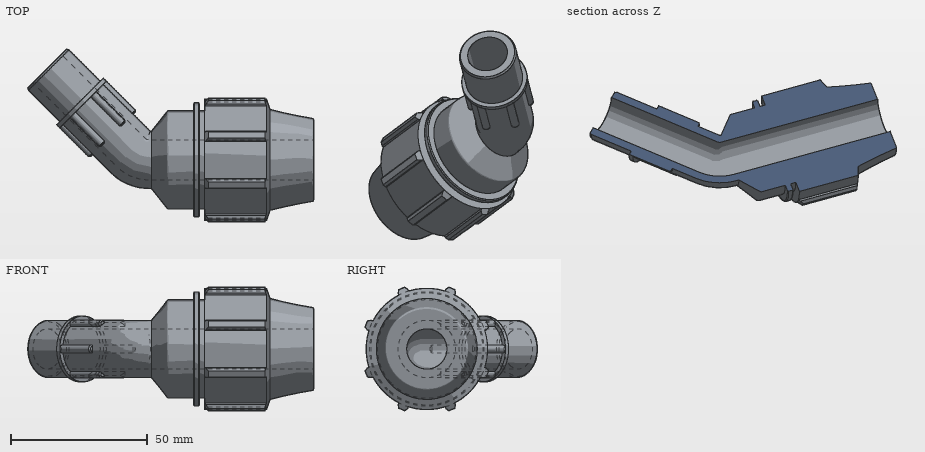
import cadquery as cq
import math

neck_length = 0.9
body_diameter = 36.0
body_start = 6.9
body_edge_round = 0.8
pick_margin = 0.1

flange_diameter = 41.76
flange_start = 16.25
flange_width = 2.25
flange_chamfer = 0.4

nut_diameter = 44.4
nut_start = 20.3
nut_end = 42.95
nut_shoulder_length = 1.3
tail_root_diameter = 36.9
tail_end_diameter = 30.2
tail_sag = 0.2
total_end = 60.18
tail_edge_round = 0.7

grip_count = 8
grip_reach = 23.945
grip_crest_width = 2.4
grip_base_width = 3.8
grip_shoulder_reach = 22.8
grip_start_slope = 0.8
grip_envelope_radius = 25.0
grip_embed = 1.0

bend_angle = 45.0
bend_radius = 9.2
tube_diameter = 20.95
bore_diameter = 14.67
spigot_length = 43.38
tip_diameter = 20.0
tip_chamfer_length = 0.8

collar_diameter = 24.1
collar_from_tip = 17.0
collar_width = 1.6
spline_count = 6
spline_diameter = 3.0
spline_end_from_tip = 34.0
spline_end_chamfer = 0.5

tube_radius = tube_diameter / 2
nut_radius = nut_diameter / 2
tail_root_radius = tail_root_diameter / 2
tail_start = nut_end + nut_shoulder_length
bend_pivot = (0, bend_radius)


def ring(start, length, diameter):
    """Solid disc on the X axis."""
    return cq.Workplane("YZ").workplane(offset=start).circle(diameter / 2).extrude(length)


def make_body():
    body_radius = body_diameter / 2
    body = (
        cq.Workplane("XY")
        .moveTo(0, 0)
        .lineTo(0, tube_radius)
        .lineTo(neck_length, tube_radius)
        .lineTo(body_start, body_radius)
        .lineTo(nut_start, body_radius)
        .lineTo(nut_start, 0)
        .close()
        .revolve(360, (0, 0), (1, 0))
    )
    reach = body_radius + pick_margin
    cone_edge = cq.selectors.BoxSelector(
        (body_start - pick_margin, -reach, -reach),
        (body_start + pick_margin, reach, reach),
    )
    body = body.edges(cone_edge).fillet(body_edge_round)
    flange = ring(flange_start, flange_width, flange_diameter).edges().chamfer(flange_chamfer)
    return body.union(flange)


def make_grip():
    """Bar of one grip rib, pointing along +Z and running the full length of the nut."""
    bottom = nut_radius - grip_embed
    half_base = grip_base_width / 2
    half_crest = grip_crest_width / 2
    return (
        cq.Workplane("YZ")
        .workplane(offset=nut_start)
        .polyline([
            (-half_base, bottom),
            (-half_base, grip_shoulder_reach),
            (-half_crest, grip_reach),
            (half_crest, grip_reach),
            (half_base, grip_shoulder_reach),
            (half_base, bottom),
        ])
        .close()
        .extrude(tail_start - nut_start)
    )


def make_nut_envelope():
    """Turned shape that bevels the grips at the mouth and cuts nut and grips to one shoulder cone."""
    height = grip_envelope_radius - nut_radius
    shoulder_slope = nut_shoulder_length / (nut_radius - tail_root_radius)
    return (
        cq.Workplane("XY")
        .moveTo(nut_start, 0)
        .lineTo(nut_start, nut_radius)
        .lineTo(nut_start + height * grip_start_slope, grip_envelope_radius)
        .lineTo(nut_end - height * shoulder_slope, grip_envelope_radius)
        .lineTo(tail_start, tail_root_radius)
        .lineTo(tail_start, 0)
        .close()
        .revolve(360, (0, 0), (1, 0))
    )


def make_tail():
    end_radius = tail_end_diameter / 2
    middle = ((tail_start + total_end) / 2, (tail_root_radius + end_radius) / 2 - tail_sag)
    tail = (
        cq.Workplane("XY")
        .moveTo(tail_start, 0)
        .lineTo(tail_start, tail_root_radius)
        .threePointArc(middle, (total_end, end_radius))
        .lineTo(total_end, 0)
        .close()
        .revolve(360, (0, 0), (1, 0))
    )
    return tail.faces(">X").edges().fillet(tail_edge_round)


def make_nut():
    nut = ring(nut_start, tail_start - nut_start, nut_diameter)
    grip = make_grip()
    for index in range(grip_count):
        grip_angle = (index + 0.5) * 360 / grip_count
        nut = nut.union(grip.rotate((0, 0, 0), (1, 0, 0), grip_angle))
    return nut.intersect(make_nut_envelope()).union(make_tail())


def make_elbow():
    """Bend of tube section; the part of the section past the pivot axis is left out."""
    half_chord = math.sqrt(tube_radius ** 2 - bend_radius ** 2)
    return (
        cq.Workplane("YZ")
        .moveTo(bend_radius, -half_chord)
        .threePointArc((-tube_radius, 0), (bend_radius, half_chord))
        .close()
        .revolve(bend_angle, (bend_radius, 1), (bend_radius, 0))
    )


def place_spigot(shape):
    """Swing a shape built along -X from X = 0 about the bend pivot onto the spigot axis."""
    return shape.rotate((*bend_pivot, 0), (*bend_pivot, 1), -bend_angle)


def make_spigot():
    tip_x = -spigot_length
    spigot = (
        cq.Workplane("XY")
        .moveTo(0, 0)
        .lineTo(0, tube_radius)
        .lineTo(tip_x + tip_chamfer_length, tube_radius)
        .lineTo(tip_x, tip_diameter / 2)
        .lineTo(tip_x, 0)
        .close()
        .revolve(360, (0, 0), (1, 0))
    )
    collar_x = tip_x + collar_from_tip
    spigot = spigot.union(ring(collar_x, collar_width, collar_diameter))

    spline_length = spline_end_from_tip - collar_from_tip
    spline = (
        ring(collar_x, spline_length, spline_diameter)
        .faces(">X")
        .chamfer(spline_end_chamfer)
        .translate((0, (collar_diameter - spline_diameter) / 2, 0))
    )
    for index in range(spline_count):
        spigot = spigot.union(spline.rotate((0, 0, 0), (1, 0, 0), index * 360 / spline_count))
    return place_spigot(spigot)


def make_bore():
    """Through passage: straight in the spigot, round the bend, straight to the nut end."""
    bend = (
        cq.Workplane("YZ")
        .circle(bore_diameter / 2)
        .revolve(bend_angle, (bend_radius, 1), (bend_radius, 0))
    )
    spigot_bore = place_spigot(ring(-spigot_length, spigot_length, bore_diameter))
    return ring(0, total_end, bore_diameter).union(bend).union(spigot_bore)


result = make_body().union(make_nut()).union(make_elbow()).union(make_spigot()).cut(make_bore())